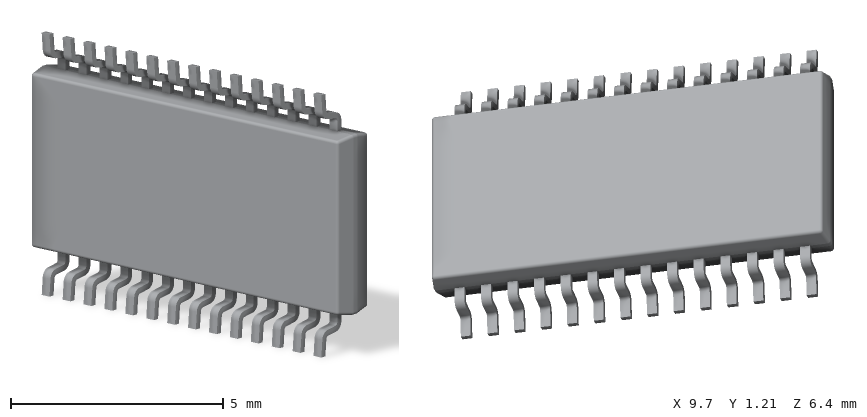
import cadquery as cq
import math

body_length = 9.7
body_height = 4.4
body_depth = 1.11
body_taper = 10.0
body_round = 0.08

lead_count = 14
lead_pitch = 0.65
lead_width = 0.24
lead_thickness = 0.15
lead_span = 6.4
lead_straight = 0.25
middle_slope = 8.0
foot_slope = 5.0
bend_inner = 0.08
bend_outer = bend_inner + lead_thickness
lead_embed = 0.19
standoff = 0.1

pad_length = 5.43
pad_height = 2.27
pad_tab_length = 5.82
pad_tab_height = 1.135
pad_depth = 0.19

front_y = -body_depth / 2
half_depth = (body_depth - lead_thickness) / 2


def make_body():
    """Band as thick as the leads, two tapered halves, and rounded corners and rims."""
    outline = cq.Workplane("XZ").rect(body_length, body_height)
    band = outline.extrude(lead_thickness / 2, both=True)
    body = band
    for side in ("<Y", ">Y"):
        half = (
            band.faces(side).workplane()
            .rect(body_length, body_height)
            .extrude(half_depth, taper=body_taper, combine=False)
        )
        body = body.union(half)
    corners = body.edges("not #Y")
    rims = body.faces("<Y or >Y").edges()
    return corners.add(rims).fillet(body_round)


def make_pad():
    """Pad slab whose outer face lies in the -Y face of the body."""
    face = cq.Workplane("XZ", origin=(0, front_y, 0))
    slab = face.rect(pad_length, pad_height).extrude(-pad_depth)
    tabs = face.rect(pad_tab_length, pad_tab_height).extrude(-pad_depth)
    return slab.union(tabs)


def bend_arc(center, radius, start, end):
    """Start, middle and end of an arc in the YZ plane, in degrees from +Y towards +Z."""
    points = []
    for degrees in (start, (start + end) / 2, end):
        angle = math.radians(degrees)
        points.append((center[0] + radius * math.cos(angle), center[1] + radius * math.sin(angle)))
    return points


def make_lead(x):
    """One upper lead centred on x: straight stretch, sloping stretch towards -Y, foot."""
    root_z = body_height / 2 - lead_embed
    tip_z = lead_span / 2
    back_y = lead_thickness / 2
    middle_sine = math.sin(math.radians(middle_slope))
    middle_cosine = math.cos(math.radians(middle_slope))
    foot_sine = math.sin(math.radians(foot_slope))
    foot_cosine = math.cos(math.radians(foot_slope))
    foot_front_y = front_y - standoff
    foot_back_y = foot_front_y + lead_thickness / foot_cosine

    first = (back_y - bend_outer, body_height / 2 + lead_straight)

    slope_offset = first[0] * middle_sine + first[1] * middle_cosine + bend_outer + bend_inner
    foot_offset = -foot_back_y * foot_cosine - tip_z * foot_sine - bend_inner
    spread = math.cos(math.radians(middle_slope + foot_slope))
    second = (
        -(slope_offset * foot_sine + foot_offset * middle_cosine) / spread,
        (slope_offset * foot_cosine + foot_offset * middle_sine) / spread,
    )

    first_end = 90 - middle_slope
    second_start = 270 - middle_slope
    second_end = 180 + foot_slope
    first_outside = bend_arc(first, bend_outer, 0, first_end)
    second_inside = bend_arc(second, bend_inner, second_start, second_end)
    second_outside = bend_arc(second, bend_outer, second_end, second_start)
    first_inside = bend_arc(first, bend_inner, first_end, 0)

    outline = (
        cq.Workplane("YZ", origin=(x - lead_width / 2, 0, 0))
        .moveTo(back_y, root_z)
        .lineTo(*first_outside[0])
        .threePointArc(*first_outside[1:])
        .lineTo(*second_inside[0])
        .threePointArc(*second_inside[1:])
        .lineTo(foot_back_y, tip_z)
        .lineTo(foot_front_y, tip_z)
        .lineTo(*second_outside[0])
        .threePointArc(*second_outside[1:])
        .lineTo(*first_inside[0])
        .threePointArc(*first_inside[1:])
        .lineTo(-back_y, root_z)
        .close()
    )
    return outline.extrude(lead_width)


result = make_body()
for index in range(lead_count):
    lead = make_lead((index - (lead_count - 1) / 2) * lead_pitch)
    result = result.union(lead).union(lead.mirror("XY"))

result = result.union(make_pad(), clean=False)